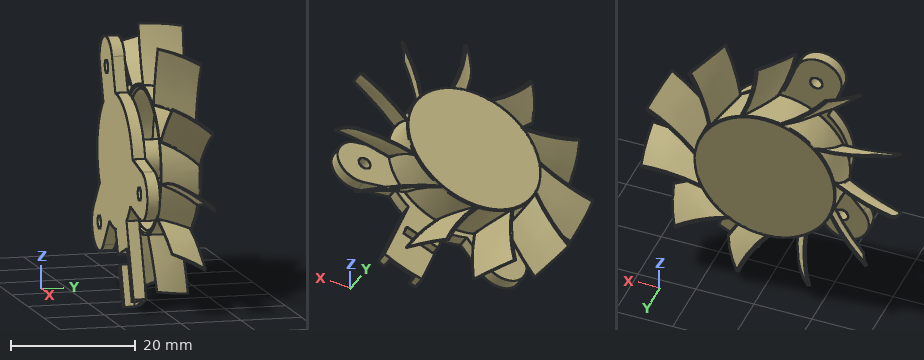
import cadquery as cq

PLATE_THICKNESS = 2.1
HUB_FRONT = 4.45
BLADE_FRONT = 4.6
CUP_FLOOR = 9.25
BLADE_BACK = 10.8
HUB_BACK = 11.1

DISC_RADIUS = 11.1
SHAFT_RADIUS = 3.15
ARM_COUNT = 3
FIRST_ARM_ANGLE = -9.6
ARM_HALF_WIDTH = 4.05
ARM_REACH = 20.3
SCREW_HOLE_RADIUS = 1.05
SCREW_CIRCLE_RADIUS = 15.35

TAB_ANGLE = -70
TAB_REACH = 23.5
TAB_LOW_SIDE = -3.5
TAB_HIGH_SIDE = 3.8
CHANNEL_LOW_SIDE = -2.3
CHANNEL_HIGH_SIDE = 2.55
CHANNEL_FLOOR_THICKNESS = 0.4
WINDOW_START = 14.7
WINDOW_END = 16.45

HUB_RADIUS = 12.15
HUB_BACK_CHAMFER_LENGTH = HUB_BACK - BLADE_BACK
HUB_BACK_CHAMFER_DEPTH = 0.1
CUP_RADIUS = 11.35
CUP_MOUTH_CHAMFER = 0.4
BLADE_COUNT = 11
BLADE_TIP_RADIUS = 21.85
BLADE_ROOT_RADIUS = (HUB_RADIUS + CUP_RADIUS) / 2
BLADE_FRONT_WIDTH = 0.15
BLADE_BACK_WIDTH = 0.4
BLADE_CAMBER = 0.28
BLADE_SECTIONS = [
    (11.0, 0.6, 4.4),
    (16.0, -1.45, 2.6),
    (22.0, -3.0, 1.65),
]


def disc(radius, y_start, y_end):
    """Solid cylinder about the fan axis."""
    plane = cq.Workplane("XZ", origin=(0, y_start, 0))
    return plane.circle(radius).extrude(y_start - y_end)


def turned(body, angle):
    """Swing a body from +X about the fan axis, counter-clockwise toward +Z."""
    return body.rotate((0, 0, 0), (0, 1, 0), -angle)


def radial_block(x_start, x_end, z_start, z_end, y_start, y_end):
    """Rectangular block, placed before it is turned to its angle."""
    size = (x_end - x_start, y_end - y_start, z_end - z_start)
    return cq.Workplane("XY").box(*size, centered=False).translate((x_start, y_start, z_start))


def make_arm():
    """Round-ended arm lying along +X."""
    end_center = ARM_REACH - ARM_HALF_WIDTH
    return (
        cq.Workplane("XZ")
        .moveTo(0, -ARM_HALF_WIDTH)
        .lineTo(end_center, -ARM_HALF_WIDTH)
        .threePointArc((ARM_REACH, 0), (end_center, ARM_HALF_WIDTH))
        .lineTo(0, ARM_HALF_WIDTH)
        .close()
        .extrude(-PLATE_THICKNESS)
    )


def make_tab():
    """Cable tab along +X with an open-fronted channel and a wire window."""
    tab = radial_block(0, TAB_REACH, TAB_LOW_SIDE, TAB_HIGH_SIDE, 0, PLATE_THICKNESS)
    tab = tab.intersect(disc(TAB_REACH, 0, PLATE_THICKNESS))
    channel = radial_block(
        WINDOW_END, TAB_REACH, CHANNEL_LOW_SIDE, CHANNEL_HIGH_SIDE,
        0, PLATE_THICKNESS - CHANNEL_FLOOR_THICKNESS,
    )
    window = radial_block(
        WINDOW_START, WINDOW_END, TAB_LOW_SIDE, CHANNEL_HIGH_SIDE, 0, PLATE_THICKNESS,
    )
    return tab.cut(channel).cut(window)


def make_mounting_plate():
    """Disc with three screw arms, the cable tab and the central shaft."""
    plate = disc(DISC_RADIUS, 0, PLATE_THICKNESS)
    plate = plate.union(turned(make_tab(), TAB_ANGLE))
    screw_hole = disc(SCREW_HOLE_RADIUS, 0, PLATE_THICKNESS).translate((SCREW_CIRCLE_RADIUS, 0, 0))
    for index in range(ARM_COUNT):
        angle = FIRST_ARM_ANGLE + index * 360 / ARM_COUNT
        plate = plate.union(turned(make_arm(), angle))
        plate = plate.cut(turned(screw_hole, angle))
    return plate.union(disc(SHAFT_RADIUS, PLATE_THICKNESS, CUP_FLOOR))


def make_blade():
    """Twisted, cambered blade standing along +Z, trimmed at its root and tip."""
    y_middle = (BLADE_FRONT + BLADE_BACK) / 2
    middle_width = (BLADE_FRONT_WIDTH + BLADE_BACK_WIDTH) / 2
    sections = []
    for height, x_front, x_back in BLADE_SECTIONS:
        x_front_inner = x_front + BLADE_FRONT_WIDTH
        x_back_inner = x_back - BLADE_BACK_WIDTH
        x_middle = (x_front + x_back_inner) / 2 - BLADE_CAMBER
        section = (
            cq.Workplane("XY", origin=(0, 0, height))
            .moveTo(x_front, BLADE_FRONT)
            .threePointArc((x_middle, y_middle), (x_back_inner, BLADE_BACK))
            .lineTo(x_back, BLADE_BACK)
            .threePointArc((x_middle + middle_width, y_middle), (x_front_inner, BLADE_FRONT))
            .close()
        )
        sections.append(section.wires().val())
    blade = cq.Workplane(cq.Solid.makeLoft(sections))
    swept_ring = disc(BLADE_TIP_RADIUS, 0, HUB_BACK).cut(disc(BLADE_ROOT_RADIUS, 0, HUB_BACK))
    return blade.intersect(swept_ring)


def make_hub():
    """Cup-shaped hub, open toward the plate, turned about the fan axis."""
    profile = [
        (0, CUP_FLOOR),
        (CUP_RADIUS, CUP_FLOOR),
        (CUP_RADIUS, HUB_FRONT + CUP_MOUTH_CHAMFER),
        (CUP_RADIUS + CUP_MOUTH_CHAMFER, HUB_FRONT),
        (HUB_RADIUS, HUB_FRONT),
        (HUB_RADIUS, HUB_BACK - HUB_BACK_CHAMFER_LENGTH),
        (HUB_RADIUS - HUB_BACK_CHAMFER_DEPTH, HUB_BACK),
        (0, HUB_BACK),
    ]
    return cq.Workplane("XY").polyline(profile).close().revolve(360, (0, 0, 0), (0, 1, 0))


def make_fan():
    """Hub with a ring of equal blades."""
    fan = make_hub()
    blade = make_blade()
    for index in range(BLADE_COUNT):
        fan = fan.union(turned(blade, index * 360 / BLADE_COUNT))
    return fan


mounting_plate = make_mounting_plate()
fan = make_fan()
result = cq.Compound.makeCompound([mounting_plate.val(), fan.val()])